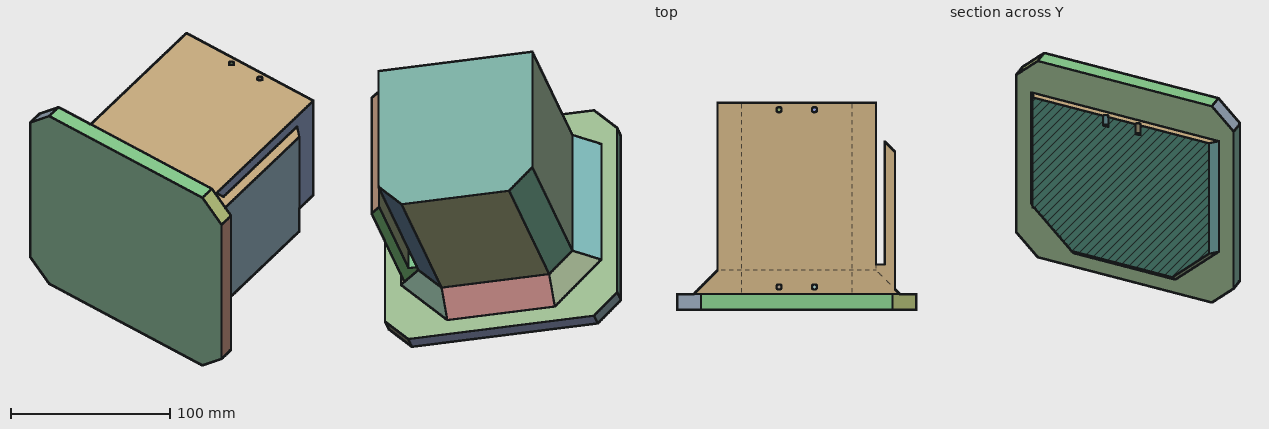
import cadquery as cq

flange_size = 150.0
flange_thickness = 9.9
flange_corner = 15.0

overall_depth = 130.0
block_size = 99.5
block_length = overall_depth - flange_thickness
block_corner = 15.0
flare = 15.0

arm_gap = 5.4
arm_thickness = 6.6
arm_height = 95.8
slot_floor_height = 18.6

hole_diameter = 3.3
hole_depth = 7.5
hole_spacing = 22.2
hole_end_margin = 4.5

half_block = block_size / 2
flange_back = flange_thickness
arm_bottom = -half_block + block_corner


def xz_plane(y):
    """Work plane at the given y whose normal is +Y; its local x axis is -X and its local y axis is +Z."""
    return cq.Workplane(cq.Plane(origin=(0, y, 0), xDir=(-1, 0, 0), normal=(0, 1, 0)))


def block_outline(spread):
    """Block section, spread outward on every side but the top; the chamfers keep their inner corners."""
    half_width = half_block + spread
    corner = block_corner + spread
    return [
        (-half_width, half_block),
        (-half_width, -half_width + corner),
        (-half_width + corner, -half_width),
        (half_width - corner, -half_width),
        (half_width, -half_width + corner),
        (half_width, half_block),
    ]


def make_flange():
    plate = xz_plane(0).rect(flange_size, flange_size).extrude(flange_thickness)
    return plate.edges("|Y").chamfer(flange_corner)


def make_block():
    return xz_plane(flange_back).polyline(block_outline(0)).close().extrude(block_length)


def make_flare():
    return (
        xz_plane(flange_back)
        .polyline(block_outline(flare))
        .close()
        .workplane(offset=flare)
        .polyline(block_outline(0))
        .close()
        .loft(ruled=True)
    )


def make_latch_arm():
    """L-shaped arm with a 45 degree tip, flush with the top of the block."""
    inner_x = half_block + arm_gap
    outer_x = inner_x + arm_thickness
    slot_floor = flange_back + slot_floor_height
    tip = flange_back + arm_height
    profile = [
        (half_block, flange_back),
        (outer_x, flange_back),
        (outer_x, tip - arm_thickness),
        (inner_x, tip),
        (inner_x, slot_floor),
        (half_block, slot_floor),
    ]
    arm_depth = half_block - arm_bottom
    return cq.Workplane("XY", origin=(0, 0, arm_bottom)).polyline(profile).close().extrude(arm_depth)


def make_pin_holes():
    """Blind holes drilled down into the top face of the block."""
    centers = [
        (side * hole_spacing / 2, y)
        for side in (-1, 1)
        for y in (flange_back + hole_end_margin, overall_depth - hole_end_margin)
    ]
    return (
        cq.Workplane("XY", origin=(0, 0, half_block))
        .pushPoints(centers)
        .circle(hole_diameter / 2)
        .extrude(-hole_depth)
    )


result = (
    make_flange()
    .union(make_block())
    .union(make_flare())
    .union(make_latch_arm())
    .cut(make_pin_holes())
)